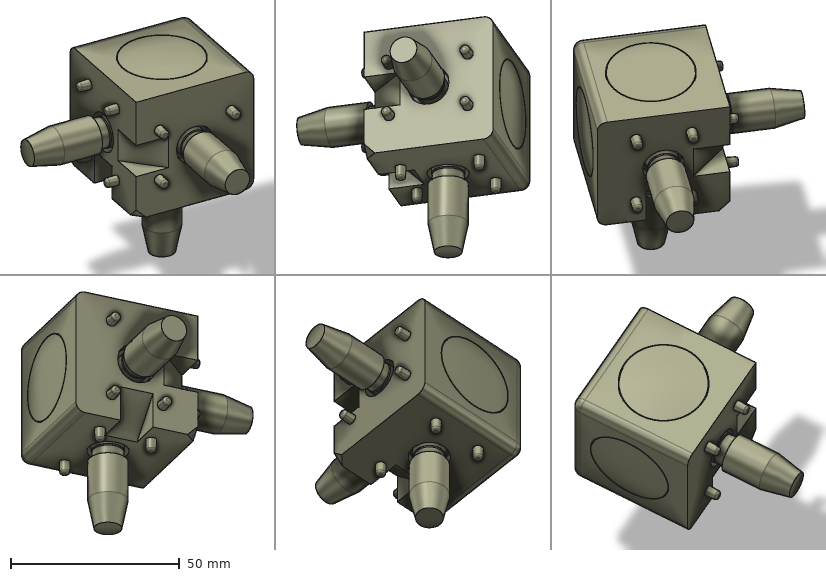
import cadquery as cq

CUBE = 40.0
HALF = CUBE / 2
EDGE_RADIUS = 3.0
CORNER_CUT_LEG = 3.3

NOTCH_WIDTH = 10.6
NOTCH_LEG = 11.05

PEG_LONG_OFFSET = 12.2
PEG_SHORT_OFFSET = 8.4
PEG_BASE_DIAMETER = 3.25
PEG_TIP_DIAMETER = 2.85
PEG_LENGTH = 4.05
PEG_TIP_RADIUS = 0.85

STEM_BORE_DIAMETER = 12.5
STEM_BORE_DEPTH = 4.0
STEM_COLLAR_DIAMETER = 9.9
STEM_COLLAR_END = 0.0
STEM_NECK_START = 0.4
STEM_NECK_DIAMETER = 9.5
STEM_NECK_END = 3.6
STEM_BODY_DIAMETER = 12.0
STEM_BODY_END = 16.5
STEM_TIP_DIAMETER = 8.3

CAP_DIAMETER = 26.5
CAP_POCKET_DIAMETER = 26.9
CAP_POCKET_DEPTH = 1.0
CAP_RISE = 0.5

OVERALL_LENGTH = 66.2
STEM_END = OVERALL_LENGTH - CUBE - CAP_RISE

STEM_FACES = [
    cq.Plane(origin=(0, -HALF, 0), xDir=(0, 0, 1), normal=(0, -1, 0)),
    cq.Plane(origin=(HALF, 0, 0), xDir=(0, 1, 0), normal=(1, 0, 0)),
    cq.Plane(origin=(0, 0, -HALF), xDir=(0, 1, 0), normal=(0, 0, -1)),
]
CAP_FACES = [
    cq.Plane(origin=(0, HALF, 0), xDir=(1, 0, 0), normal=(0, 1, 0)),
    cq.Plane(origin=(-HALF, 0, 0), xDir=(0, 1, 0), normal=(-1, 0, 0)),
    cq.Plane(origin=(0, 0, HALF), xDir=(1, 0, 0), normal=(0, 0, 1)),
]
NOTCHED_EDGES = [
    cq.Plane(origin=(0, -HALF, -HALF), xDir=(0, 1, 0), normal=(1, 0, 0)),
    cq.Plane(origin=(HALF, -HALF, 0), xDir=(0, 1, 0), normal=(0, 0, 1)),
    cq.Plane(origin=(HALF, 0, -HALF), xDir=(0, 0, 1), normal=(0, 1, 0)),
]


def make_block():
    """Cube with five rounded edges on its -X and +Y faces."""
    block = cq.Workplane("XY").box(CUBE, CUBE, CUBE)
    return block.edges("(<X and (>Y or >Z or <Z)) or (>Y and (>Z or <Z))").fillet(EDGE_RADIUS)


def make_notch(edge_plane):
    """Triangular prism that cuts an edge at 45 degrees over the notch width."""
    triangle = [(0, 0), (NOTCH_LEG, 0), (0, NOTCH_LEG)]
    return cq.Workplane(edge_plane).polyline(triangle).close().extrude(NOTCH_WIDTH / 2, both=True)


def make_corner_cut():
    """Tetrahedron that cuts the corner where the three stem faces meet."""
    corner = cq.Vector(HALF, -HALF, -HALF)
    points = [
        corner,
        corner + cq.Vector(-CORNER_CUT_LEG, 0, 0),
        corner + cq.Vector(0, CORNER_CUT_LEG, 0),
        corner + cq.Vector(0, 0, CORNER_CUT_LEG),
    ]
    triples = [(0, 1, 2), (0, 1, 3), (0, 2, 3), (1, 2, 3)]
    outlines = [cq.Wire.makePolygon([points[i] for i in triple], close=True) for triple in triples]
    faces = [cq.Face.makeFromWires(outline) for outline in outlines]
    return cq.Solid.makeSolid(cq.Shell.makeShell(faces))


def make_pegs(face_plane):
    """Four tapered pegs with rounded tips on one stem face."""
    profile = [
        (0, 0),
        (PEG_BASE_DIAMETER / 2, 0),
        (PEG_TIP_DIAMETER / 2, PEG_LENGTH),
        (0, PEG_LENGTH),
    ]
    peg = cq.Workplane("XZ").polyline(profile).close().revolve(360, (0, 0), (0, 1))
    peg = peg.faces(">Z").edges().fillet(PEG_TIP_RADIUS).val()
    face_location = cq.Location(face_plane)
    pegs = cq.Workplane(face_plane)
    for x in (-PEG_LONG_OFFSET, PEG_LONG_OFFSET):
        for y in (-PEG_SHORT_OFFSET, PEG_SHORT_OFFSET):
            pegs = pegs.add(peg.moved(face_location * cq.Location(cq.Vector(x, y, 0))))
    return pegs


def make_housing():
    housing = make_block()
    for edge_plane in NOTCHED_EDGES:
        housing = housing.cut(make_notch(edge_plane))
    housing = housing.cut(make_corner_cut())
    for face_plane in STEM_FACES:
        bore = cq.Workplane(face_plane).circle(STEM_BORE_DIAMETER / 2).extrude(-STEM_BORE_DEPTH)
        housing = housing.cut(bore).union(make_pegs(face_plane))
    for face_plane in CAP_FACES:
        pocket = cq.Workplane(face_plane).circle(CAP_POCKET_DIAMETER / 2).extrude(-CAP_POCKET_DEPTH)
        housing = housing.cut(pocket)
    return housing


def make_stem(face_plane):
    """Stem standing on the floor of its bore: collar, taper, neck, body and conical tip."""
    profile = [
        (0, -STEM_BORE_DEPTH),
        (STEM_COLLAR_DIAMETER / 2, -STEM_BORE_DEPTH),
        (STEM_COLLAR_DIAMETER / 2, STEM_COLLAR_END),
        (STEM_NECK_DIAMETER / 2, STEM_NECK_START),
        (STEM_NECK_DIAMETER / 2, STEM_NECK_END),
        (STEM_BODY_DIAMETER / 2, STEM_NECK_END),
        (STEM_BODY_DIAMETER / 2, STEM_BODY_END),
        (STEM_TIP_DIAMETER / 2, STEM_END),
        (0, STEM_END),
    ]
    stem = cq.Workplane("XZ").polyline(profile).close().revolve(360, (0, 0), (0, 1))
    return stem.val().located(cq.Location(face_plane))


def make_cap(face_plane):
    """Disc filling its pocket up to the face, with a shallow spherical dome above."""
    radius = CAP_DIAMETER / 2
    sphere_radius = (radius**2 + CAP_RISE**2) / (2 * CAP_RISE)
    middle_radius = radius / 2
    middle_rise = CAP_RISE - sphere_radius + (sphere_radius**2 - middle_radius**2) ** 0.5
    cap = (
        cq.Workplane("XZ")
        .moveTo(0, -CAP_POCKET_DEPTH)
        .lineTo(radius, -CAP_POCKET_DEPTH)
        .lineTo(radius, 0)
        .threePointArc((middle_radius, middle_rise), (0, CAP_RISE))
        .close()
        .revolve(360, (0, 0), (0, 1))
    )
    return cap.val().located(cq.Location(face_plane))


housing = make_housing()
stems = [make_stem(face_plane) for face_plane in STEM_FACES]
caps = [make_cap(face_plane) for face_plane in CAP_FACES]

result = cq.Compound.makeCompound([housing.val(), *stems, *caps])